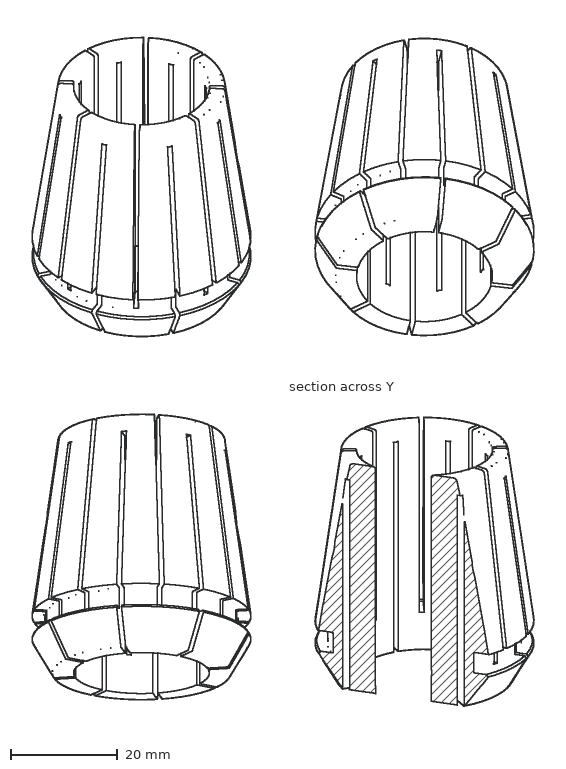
import cadquery as cq
import math

total_height = 46.0
cone_base = 11.15
flange_top = 7.1
flange_widest = 6.62

max_radius = 41.0 / 2
neck_radius = 18.12
bore_radius = 25.4 / 2

cone_angle = 8.0
flange_angle = 30.0
flange_chamfer = 0.3
top_rounding = 0.6
bore_rounding = 0.4
neck_rounding = 0.2
base_rounding = 0.2

slot_width = 0.9
slots_per_end = 8
upper_slot_floor = 7.55
lower_slot_roof = 42.5
slot_pitch = 360.0 / slots_per_end

match_tolerance = 0.0005


def round_circle(body, radius, height, rounding):
    """Fillet the circular edge of the given radius that lies at the given height."""
    circles = body.edges("%CIRCLE").vals()
    matches = [
        circle
        for circle in circles
        if abs(circle.radius() - radius) < match_tolerance
        and abs(circle.Center().z - height) < match_tolerance
    ]
    return body.newObject(matches).fillet(rounding)


def make_body():
    """Revolve the wall section: nose flange, neck groove and long cone around the bore."""
    cone_slope = math.tan(math.radians(cone_angle))
    cone_top_radius = max_radius - (total_height - cone_base) * cone_slope
    flange_base_radius = max_radius - flange_widest * math.tan(math.radians(flange_angle))
    section = [
        (bore_radius, 0),
        (flange_base_radius, 0),
        (max_radius, flange_widest),
        (max_radius - flange_chamfer, flange_top),
        (neck_radius, flange_top),
        (neck_radius, cone_base),
        (max_radius, cone_base),
        (cone_top_radius, total_height),
        (bore_radius, total_height),
    ]
    body = cq.Workplane("XZ").polyline(section).close().revolve(360, (0, 0), (0, 1))
    body = round_circle(body, cone_top_radius, total_height, top_rounding)
    body = round_circle(body, bore_radius, total_height, bore_rounding)
    body = round_circle(body, neck_radius, cone_base, neck_rounding)
    body = round_circle(body, neck_radius, flange_top, neck_rounding)
    return round_circle(body, flange_base_radius, 0, base_rounding)


def cut_slots(body, bottom, top, first_angle):
    """Cut radial slots through the wall, evenly spaced around the axis."""
    for index in range(slots_per_end):
        slot = (
            cq.Workplane("XY", origin=(0, 0, bottom))
            .rect(max_radius + slot_width, slot_width, centered=(False, True))
            .extrude(top - bottom)
            .rotate((0, 0, 0), (0, 0, 1), first_angle + index * slot_pitch)
        )
        body = body.cut(slot)
    return body


result = make_body()
result = cut_slots(result, 0, lower_slot_roof, 0)
result = cut_slots(result, upper_slot_floor, total_height, slot_pitch / 2)